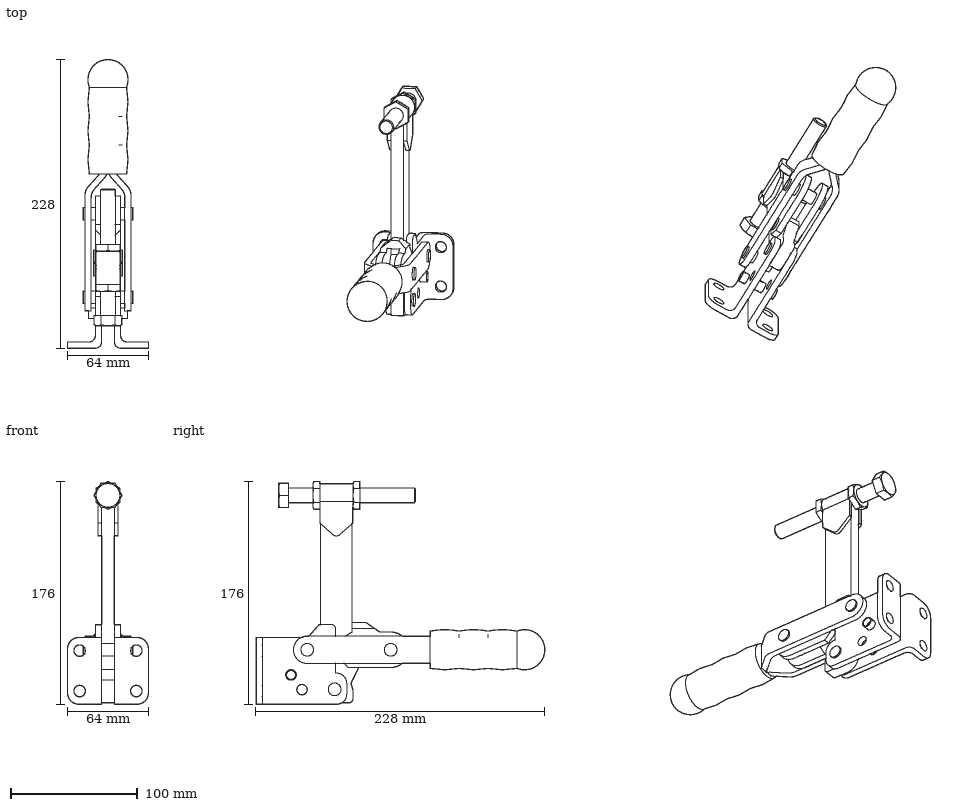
import cadquery as cq
import math


plate = 5.0
arm_half = 5.0
plate_outer = arm_half + plate
pin_radius = 5.0
pin_stand_out = 1.4

arm_pivot = (62.0, 11.9)
handle_pivot = (40.4, 43.0)
link_handle_pivot = (106.2, 43.0)
link_arm_pivot = (72.7, 43.0)

base_width = 64.0
flange_half_width = base_width / 2
base_height = 53.0
flange_corner_radius = 9.1
lobe_corner_radius = 8.0
bend_radius = 5.0
base_back_y = 71.5
lobe_top_z = 24.6
hump_back_y = 62.7
hump_front_y = 49.7
hump_foot_y = 40.8
hump_top_z = 63.0
hump_corner_radius = 3.0
mount_hole_x = 22.3
mount_hole_pitch = 32.0
mount_hole_diameter = 9.0
side_hole_center = (36.3, 11.6)
side_hole_diameter = 8.0
spacer_center = (27.5, 23.3)
spacer_outer_diameter = 8.5
spacer_bore = 7.0
spacer_half_length = 15.5

arm_front_y = 50.8
arm_width = 25.0
arm_back_y = arm_front_y + arm_width
arm_mid_y = arm_front_y + arm_width / 2
arm_top_z = 157.3
arm_foot_radius = 10.7
arm_bottom_z = 1.1
heel_y = 76.5
heel_top_z = 11.2
heel_radius = 3.5
waist = (75.0, 16.6)
waist_radius = 3.5
lobe_low = (83.7, 34.2)
lobe_high_z = 43.3

link_end_radius = 14.1
link_tip_y = 65.5
link_tip_top_z = 50.6
link_tip_bottom_z = 36.5
bridge_top_z = 64.8
bridge_foot_y = 97.5
bridge_crest_y = 86.6
bridge_chamfer_x = 6.8
bridge_chamfer_z = 4.8

handle_inner = 13.2
handle_outer = handle_inner + plate
handle_height = 21.7
strap_angle = math.radians(42)
strap_bend_radius = 10.3
tang_end_y = 193.8
grip_start_y = 137.5
grip_radius = 16.0
grip_waist_radius = 14.8
grip_ridge_length = 22.8
grip_ridge_count = 3
grip_tip_y = 228.0

bolt_radius = 6.0
bolt_tip_y = 125.9
bolt_tip_chamfer = 1.0
head_front_y = 17.8
head_length = 8.0
across_flats = 19.2
hex_half_step = 30
across_corners = across_flats / math.cos(math.radians(hex_half_step))
hex_face_radius = 9.3
hex_bevel_angle = math.radians(25)
overall_height = 176.0
bolt_z = overall_height - across_corners / 2
nut_length = 5.5
retainer_length = 26.2
retainer_radius = 9.3
retainer_leg_half = 8.0
retainer_shoulder_z = 143.2
retainer_point_z = 131.5
retainer_point_radius = 4.0


def extrude_across(outline, half_width):
    """Extrude a closed (Y, Z) outline symmetrically about X = 0."""
    return outline.extrude(half_width, both=True)


def cross_cylinder(center, radius, half_length):
    """A cylinder along X, centred on X = 0."""
    return extrude_across(cq.Workplane("YZ").center(*center).circle(radius), half_length)


def lengthwise_cylinder(start_y, end_y, radius):
    """A cylinder along Y on the bolt axis."""
    sketch = cq.Workplane("XZ", origin=(0, start_y, bolt_z)).circle(radius)
    return sketch.extrude(start_y - end_y)


def lengthwise_hexagon(start_y, length, turn):
    """A hexagonal prism on the bolt axis with its front corners bevelled.

    A turn of 0 puts two corners on the X sides; a half step puts them at top and bottom.
    """
    front = cq.Workplane("XZ", origin=(0, start_y, bolt_z))
    prism = front.polygon(6, across_corners).extrude(-length)
    flare = length / math.tan(hex_bevel_angle)
    cone = cq.Solid.makeCone(
        hex_face_radius, hex_face_radius + flare, length,
        pnt=cq.Vector(0, start_y, bolt_z), dir=cq.Vector(0, 1, 0),
    )
    return prism.rotate((0, 0, bolt_z), (0, 1, bolt_z), turn).intersect(cq.Workplane(cone))


def mirrored_pair(body):
    """The body together with its mirror image across X = 0."""
    return body.union(body.mirror("YZ"))


arm_pivot_pin = cross_cylinder(arm_pivot, pin_radius, plate_outer + pin_stand_out)
link_arm_pin = cross_cylinder(link_arm_pivot, pin_radius, plate_outer + pin_stand_out)
handle_pivot_pin = cross_cylinder(handle_pivot, pin_radius, handle_outer + pin_stand_out)
link_handle_pin = cross_cylinder(link_handle_pivot, pin_radius, handle_outer + pin_stand_out)


def make_base():
    """Two bent side plates joined by the spacer tube and the two fixed pivot pins."""
    bent_plate = (
        cq.Workplane("XY")
        .moveTo(arm_half, base_back_y)
        .lineTo(arm_half, bend_radius)
        .radiusArc((arm_half + bend_radius, 0), -bend_radius)
        .lineTo(flange_half_width, 0)
        .lineTo(flange_half_width, plate)
        .lineTo(plate_outer + bend_radius, plate)
        .radiusArc((plate_outer, plate + bend_radius), bend_radius)
        .lineTo(plate_outer, base_back_y)
        .close()
        .extrude(hump_top_z)
    )
    side_outline = (
        cq.Workplane("YZ")
        .polyline([
            (0, 0), (base_back_y, 0), (base_back_y, lobe_top_z), (hump_back_y, lobe_top_z),
            (hump_back_y, hump_top_z), (hump_front_y, hump_top_z), (hump_foot_y, base_height),
            (0, base_height),
        ])
        .close()
        .extrude(flange_half_width)
    )
    for y, z, radius in (
        (base_back_y, 0, lobe_corner_radius),
        (base_back_y, lobe_top_z, lobe_corner_radius),
        (hump_back_y, hump_top_z, hump_corner_radius),
    ):
        corner = cq.selectors.NearestToPointSelector((flange_half_width / 2, y, z))
        side_outline = side_outline.edges("|X").edges(corner).fillet(radius)
    side_plate = bent_plate.intersect(side_outline)
    side_plate = side_plate.edges("|Y").edges(">X").fillet(flange_corner_radius)

    mount_holes = (
        cq.Workplane("XZ", origin=(mount_hole_x, 0, base_height / 2))
        .rarray(2.3, mount_hole_pitch, 1, 2)
        .circle(mount_hole_diameter / 2)
        .extrude(-plate)
    )
    side_hole = cross_cylinder(side_hole_center, side_hole_diameter / 2, plate_outer)
    spacer = cross_cylinder(spacer_center, spacer_outer_diameter / 2, spacer_half_length)
    bore = cross_cylinder(spacer_center, spacer_bore / 2, spacer_half_length)
    plates = mirrored_pair(side_plate.cut(mount_holes).cut(side_hole))
    return plates.union(spacer).cut(bore).union(arm_pivot_pin).union(handle_pivot_pin)


def make_arm():
    """The flat bar that carries the retainer, with a rounded foot and a lobe for the link pin."""
    lobe_rise = lobe_low[0] - arm_back_y
    outline = (
        cq.Workplane("YZ")
        .moveTo(arm_front_y, arm_top_z)
        .lineTo(arm_back_y, arm_top_z)
        .lineTo(arm_back_y, lobe_high_z + lobe_rise)
        .lineTo(lobe_low[0], lobe_high_z)
        .lineTo(*lobe_low)
        .lineTo(*waist)
        .lineTo(heel_y, heel_top_z)
        .lineTo(heel_y, arm_bottom_z)
        .lineTo(arm_front_y, arm_bottom_z)
        .close()
    )
    arm = extrude_across(outline, arm_half)
    for point, radius in (
        (waist, waist_radius),
        ((heel_y, arm_bottom_z), heel_radius),
        ((arm_front_y, arm_bottom_z), arm_foot_radius),
    ):
        corner = cq.selectors.NearestToPointSelector((0, *point))
        arm = arm.edges("|X").edges(corner).fillet(radius)
    return arm.cut(arm_pivot_pin).cut(link_arm_pin)


def make_link():
    """Two ears joined by a roof-shaped bridge behind the arm, with a pin at each end."""
    end_y, end_z = link_handle_pivot
    top_z = end_z + link_end_radius
    bottom_z = end_z - link_end_radius
    tip_bevel = link_tip_bottom_z - bottom_z
    outline = (
        cq.Workplane("YZ")
        .moveTo(end_y, top_z)
        .lineTo(bridge_foot_y, top_z)
        .lineTo(bridge_crest_y, bridge_top_z)
        .lineTo(arm_back_y, bridge_top_z)
        .lineTo(arm_back_y, top_z)
        .lineTo(link_tip_y, link_tip_top_z)
        .lineTo(link_tip_y, link_tip_bottom_z)
        .lineTo(link_tip_y + tip_bevel, bottom_z)
        .lineTo(end_y, bottom_z)
        .threePointArc((end_y + link_end_radius, end_z), (end_y, top_z))
        .close()
    )
    blank = extrude_across(outline, plate_outer)
    roof_half = plate_outer - bridge_chamfer_x
    eave_z = bridge_top_z - bridge_chamfer_z
    cross_section = (
        cq.Workplane("XZ")
        .polyline([
            (-plate_outer, 0), (-plate_outer, eave_z), (-roof_half, bridge_top_z),
            (roof_half, bridge_top_z), (plate_outer, eave_z), (plate_outer, 0),
            (arm_half, 0), (arm_half, bridge_top_z - plate),
            (-arm_half, bridge_top_z - plate), (-arm_half, 0),
        ])
        .close()
        .extrude(-(end_y + link_end_radius))
    )
    return blank.intersect(cross_section).union(link_handle_pin).union(link_arm_pin)


def make_handle():
    """Two straps with rounded ends, bent together into one tang inside the grip."""
    bend_y = grip_start_y - handle_inner / math.tan(strap_angle)
    miter = plate * math.tan(strap_angle / 2)
    front_y = handle_pivot[0] - handle_height / 2
    bottom_z = handle_pivot[1] - handle_height / 2
    strap = (
        cq.Workplane("XY", origin=(0, 0, handle_pivot[1]))
        .polyline([
            (handle_inner, front_y), (handle_outer, front_y), (handle_outer, bend_y + miter),
            (plate, grip_start_y + miter), (plate, tang_end_y), (0, tang_end_y),
            (0, grip_start_y), (handle_inner, bend_y),
        ])
        .close()
        .extrude(handle_height / 2, both=True)
    )
    for x, y in (
        (handle_inner, bend_y),
        (handle_outer, bend_y + miter),
        (plate, grip_start_y + miter),
        (0, grip_start_y),
    ):
        bend = cq.selectors.NearestToPointSelector((x, y, handle_pivot[1]))
        strap = strap.edges("|Z").edges(bend).fillet(strap_bend_radius)
    side_outline = (
        cq.Workplane("YZ")
        .moveTo(tang_end_y, bottom_z)
        .lineTo(handle_pivot[0], bottom_z)
        .threePointArc((front_y, handle_pivot[1]), (handle_pivot[0], bottom_z + handle_height))
        .lineTo(tang_end_y, bottom_z + handle_height)
        .close()
        .extrude(handle_outer)
    )
    strap = strap.intersect(side_outline)
    return mirrored_pair(strap).cut(handle_pivot_pin).cut(link_handle_pin)


def make_grip(handle):
    """A ridged, domed grip turned about its long axis and recessed for the handle tang."""
    dome_y = grip_tip_y - grip_radius
    profile = cq.Workplane("YZ").moveTo(grip_start_y, 0).lineTo(grip_start_y, grip_waist_radius)
    for ridge in range(grip_ridge_count):
        ridge_y = grip_start_y + ridge * grip_ridge_length
        profile = profile.threePointArc(
            (ridge_y + grip_ridge_length / 2, grip_radius),
            (ridge_y + grip_ridge_length, grip_waist_radius),
        )
    shoulder_start_y = grip_start_y + grip_ridge_count * grip_ridge_length
    shoulder_mid_y = (shoulder_start_y + dome_y) / 2
    shoulder_mid_radius = grip_radius - (grip_radius - grip_waist_radius) / 4
    diagonal = grip_radius * math.sqrt(0.5)
    profile = (
        profile.threePointArc((shoulder_mid_y, shoulder_mid_radius), (dome_y, grip_radius))
        .threePointArc((dome_y + diagonal, diagonal), (grip_tip_y, 0))
        .close()
    )
    grip = profile.revolve(360, (0, 0), (1, 0)).translate((0, 0, handle_pivot[1]))
    return grip.cut(handle)


def make_retainer():
    """The sleeve that holds the bolt, with two pointed legs that straddle the arm."""
    half_length = retainer_length / 2
    sleeve = lengthwise_cylinder(arm_mid_y - half_length, arm_mid_y + half_length, retainer_radius)
    legs = extrude_across(
        cq.Workplane("YZ")
        .polyline([
            (arm_mid_y - half_length, bolt_z), (arm_mid_y + half_length, bolt_z),
            (arm_mid_y + half_length, retainer_shoulder_z), (arm_mid_y, retainer_point_z),
            (arm_mid_y - half_length, retainer_shoulder_z),
        ])
        .close(),
        retainer_leg_half,
    )
    legs = legs.edges("|X").edges("<Z").fillet(retainer_point_radius)
    arm_slot = (
        cq.Workplane("XY", origin=(0, arm_mid_y, 0))
        .rect(2 * arm_half, retainer_length)
        .extrude(arm_top_z)
    )
    bore = lengthwise_cylinder(arm_mid_y - half_length, arm_mid_y + half_length, bolt_radius)
    return sleeve.union(legs).cut(arm_slot).cut(bore)


def make_bolt():
    """A hexagon-head bolt with a chamfered tip."""
    head = lengthwise_hexagon(head_front_y, head_length, 0)
    shank = lengthwise_cylinder(head_front_y, bolt_tip_y, bolt_radius).faces(">Y").chamfer(bolt_tip_chamfer)
    return head.union(shank)


def make_nut(start_y):
    """A hexagon nut on the bolt, with corners up and down."""
    nut = lengthwise_hexagon(start_y, nut_length, hex_half_step)
    return nut.cut(lengthwise_cylinder(start_y, start_y + nut_length, bolt_radius))


base = make_base()
arm = make_arm()
link = make_link()
handle = make_handle()
grip = make_grip(handle)
retainer = make_retainer()
bolt = make_bolt()
nut_starts = (arm_mid_y - retainer_length / 2 - nut_length, arm_mid_y + retainer_length / 2)
nuts = [make_nut(start_y).val() for start_y in nut_starts]

result = cq.Compound.makeCompound([
    base.val(), arm.val(), link.val(), handle.val(), grip.val(), retainer.val(), bolt.val(), *nuts,
])